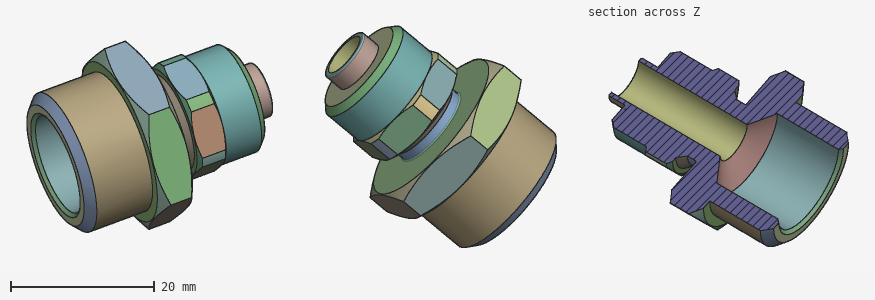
import cadquery as cq
import math

thread_end = 10.0
body_hex_end = 15.5
neck_end = 17.0
nut_start = 18.15
nut_hex_end = 22.7
nut_end = 29.2
overall_length = 32.0

thread_radius = 10.375
thread_tip_radius = 9.0
thread_chamfer_length = 1.3

body_hex_flats = 24.0
nut_hex_flats = 16.0
nut_hex_corner_radius = 8.75
hex_chamfer_angle = 30.0
hex_face_ratio = 0.99

neck_radius = 5.95
neck_fillet = 0.2
shoulder_radius = neck_radius + nut_start - neck_end
sleeve_radius = nut_hex_flats / 2
sleeve_chamfer = 1.0
nut_core_radius = sleeve_radius * hex_face_ratio
stub_radius = 4.0
stub_fillet = 0.2

bore_radius = 7.25
bore_chamfer = 0.5
bore_depth = 11.0
passage_radius = 3.25
cone_half_angle = 60.0


def profile_start(y):
    """Begin a half profile on the axis; its coordinates are (y, radius)."""
    return cq.Workplane("YZ").moveTo(y, 0)


def revolve(profile):
    """Close a half profile along the axis and turn it about Y."""
    return profile.close().revolve(360, (0, 0), (1, 0))


def across_corners(flats):
    """Corner-to-corner width of a regular hexagon of the given width across flats."""
    return flats / math.cos(math.pi / 6)


def chamfered_hex(flats, corner_radius, start, end):
    """Hexagon along Y with flats facing +Z and -Z, its corners turned and both ends chamfered."""
    face_radius = hex_face_ratio * flats / 2
    chamfer_length = (corner_radius - face_radius) * math.tan(math.radians(hex_chamfer_angle))
    corner_diameter = across_corners(flats)
    prism = cq.Workplane("XZ", origin=(0, start, 0)).polygon(6, corner_diameter).extrude(start - end)
    envelope = revolve(
        profile_start(start)
        .lineTo(start, face_radius)
        .lineTo(start + chamfer_length, corner_radius)
        .lineTo(end - chamfer_length, corner_radius)
        .lineTo(end, face_radius)
        .lineTo(end, 0)
    )
    return prism.intersect(envelope)


def thread_spigot():
    """Plain cylinder for the thread, chamfered at its free end and running to the back of the hexagon."""
    return revolve(
        profile_start(0)
        .lineTo(0, thread_tip_radius)
        .lineTo(thread_chamfer_length, thread_radius)
        .lineTo(body_hex_end, thread_radius)
        .lineTo(body_hex_end, 0)
    )


def neck_and_sleeve():
    """Neck filleted into the hexagon, flared shoulder, nut sleeve and rounded tube stub.

    Inside the nut hexagon the core tapers slightly, so it stays clear of the flats.
    """
    arc_middle = 1 - math.sqrt(0.5)
    return revolve(
        profile_start(thread_end)
        .lineTo(thread_end, neck_radius + neck_fillet)
        .lineTo(body_hex_end, neck_radius + neck_fillet)
        .threePointArc(
            (body_hex_end + arc_middle * neck_fillet, neck_radius + arc_middle * neck_fillet),
            (body_hex_end + neck_fillet, neck_radius),
        )
        .lineTo(neck_end, neck_radius)
        .lineTo(nut_start, shoulder_radius)
        .lineTo(nut_start, nut_core_radius)
        .lineTo(nut_hex_end, sleeve_radius)
        .lineTo(nut_end - sleeve_chamfer, sleeve_radius)
        .lineTo(nut_end, sleeve_radius - sleeve_chamfer)
        .lineTo(nut_end, stub_radius)
        .lineTo(overall_length - stub_fillet, stub_radius)
        .threePointArc(
            (overall_length - arc_middle * stub_fillet, stub_radius - arc_middle * stub_fillet),
            (overall_length, stub_radius - stub_fillet),
        )
        .lineTo(overall_length, 0)
    )


def bore():
    """Chamfered entry bore with a conical floor leading into the through passage."""
    cone_length = (bore_radius - passage_radius) / math.tan(math.radians(cone_half_angle))
    return revolve(
        profile_start(0)
        .lineTo(0, bore_radius + bore_chamfer)
        .lineTo(bore_chamfer, bore_radius)
        .lineTo(bore_depth, bore_radius)
        .lineTo(bore_depth + cone_length, passage_radius)
        .lineTo(overall_length, passage_radius)
        .lineTo(overall_length, 0)
    )


body_hex_corner_radius = across_corners(body_hex_flats) / 2
body_hex = chamfered_hex(body_hex_flats, body_hex_corner_radius, thread_end, body_hex_end)
nut_hex = chamfered_hex(nut_hex_flats, nut_hex_corner_radius, nut_start, nut_hex_end)

result = thread_spigot().union(body_hex).union(neck_and_sleeve()).union(nut_hex).cut(bore())